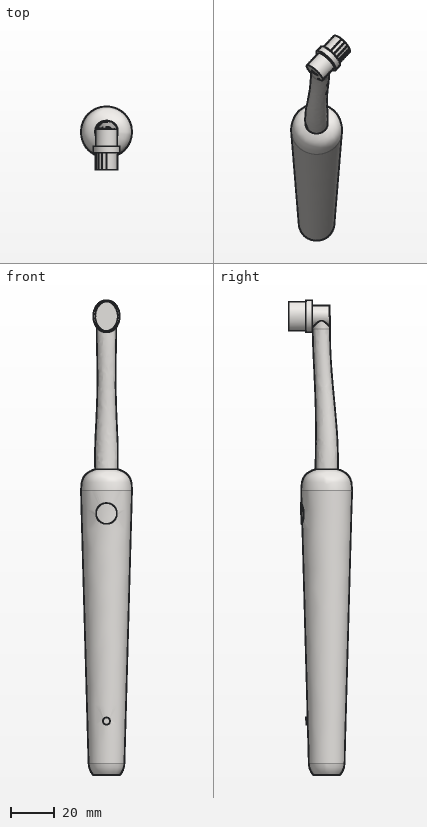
import cadquery as cq
import math

HANDLE_RADIUS = 11.7
HANDLE_LOWER_RADIUS = 8.3
HANDLE_FOOT_RADIUS = 6.0
FOOT_ROUND_HEIGHT = 5.5
FOOT_ROUND_MID = (7.6, 2.5)
SHOULDER_Z = 130.5
SHOULDER_MID = (9.8, 137.5)
SHOULDER_START_DIRECTION = (0, 1)
SHOULDER_END_DIRECTION = (-2, 0.6)
HANDLE_TOP_Z = 140.0
NECK_BASE_RADIUS = 5.2

SWITCH_Z = 119.8
SWITCH_RADIUS = 4.8
SWITCH_PROUD = 0.33
LAMP_Z = 24.8
LAMP_RADIUS = 1.63
LAMP_PROUD = 0.7
BUTTON_DEPTH = 2.2
BUTTON_REACH = 2 * HANDLE_RADIUS

OVERALL_HEIGHT = 217.5
HEAD_RADIUS = 5.0
HEAD_BACK_Y = 1.3
DISC_RADIUS_X = 6.0
DISC_RADIUS_Z = 7.5
DISC_BACK_Y = -6.5
DISC_THICKNESS = 3.0
DISC_FRONT_Y = DISC_BACK_Y - DISC_THICKNESS
HEAD_Z = OVERALL_HEIGHT - DISC_RADIUS_Z
BRISTLE_LENGTH = 7.8
BRISTLE_RADIUS_X = 5.11
BRISTLE_RADIUS_Z = 6.7
GROOVE_COUNT = 5
GROOVE_STEP = 22.5
GROOVE_RADIUS = 0.13

NECK_SECTIONS = [
    (HANDLE_TOP_Z, 0.0, NECK_BASE_RADIUS, NECK_BASE_RADIUS),
    (156.5, -0.1, 5.0, 4.9),
    (171.8, -0.9, 4.4, 4.4),
    (187.0, -1.85, 4.25, 4.02),
    (204.5, -2.5, 4.5, 4.02),
]
NECK_TOP_Z, NECK_TOP_Y, NECK_TOP_RX, NECK_TOP_RY = NECK_SECTIONS[-1]


def handle_form(extra=0.0):
    """Solid of revolution of the handle, with its side grown outward by extra."""
    return (
        cq.Workplane("XZ")
        .lineTo(HANDLE_FOOT_RADIUS + extra, 0)
        .threePointArc(
            (FOOT_ROUND_MID[0] + extra, FOOT_ROUND_MID[1]),
            (HANDLE_LOWER_RADIUS + extra, FOOT_ROUND_HEIGHT),
        )
        .lineTo(HANDLE_RADIUS + extra, SHOULDER_Z)
        .spline(
            [
                (SHOULDER_MID[0] + extra, SHOULDER_MID[1]),
                (NECK_BASE_RADIUS + extra, HANDLE_TOP_Z),
            ],
            tangents=[SHOULDER_START_DIRECTION, SHOULDER_END_DIRECTION],
            includeCurrent=True,
        )
        .lineTo(0, HANDLE_TOP_Z)
        .close()
        .revolve(360, (0, 0, 0), (0, 1, 0))
    )


def handle_radius_at(z):
    """Radius of the tapered grip at height z."""
    rise = (z - FOOT_ROUND_HEIGHT) / (SHOULDER_Z - FOOT_ROUND_HEIGHT)
    return HANDLE_LOWER_RADIUS + rise * (HANDLE_RADIUS - HANDLE_LOWER_RADIUS)


def make_button(z, radius, proud):
    """Round button whose face follows the handle surface, standing proud of it."""
    seat_y = math.sqrt(handle_radius_at(z) ** 2 - radius**2) - BUTTON_DEPTH
    plug = (
        cq.Workplane("XZ", origin=(0, -seat_y, 0))
        .center(0, z)
        .circle(radius)
        .extrude(BUTTON_REACH)
    )
    return plug.intersect(handle_form(proud))


def make_neck():
    """Gently bent neck with a short stem into the cylindrical head."""
    outlines = []
    for z, y, half_width, half_depth in NECK_SECTIONS:
        ellipse = cq.Wire.makeEllipse(
            half_width, half_depth, cq.Vector(0, y, z), cq.Vector(0, 0, 1), cq.Vector(1, 0, 0)
        )
        outlines.append(ellipse)
    shaft = cq.Workplane(cq.Solid.makeLoft(outlines))
    stem = (
        cq.Workplane("XY", origin=(0, NECK_TOP_Y, NECK_TOP_Z))
        .ellipse(NECK_TOP_RX, NECK_TOP_RY)
        .extrude(HEAD_Z - NECK_TOP_Z)
    )
    head = (
        cq.Workplane("XZ", origin=(0, HEAD_BACK_Y, HEAD_Z))
        .circle(HEAD_RADIUS)
        .extrude(HEAD_BACK_Y - DISC_BACK_Y)
    )
    return shaft.union(head.union(stem)).cut(make_disc())


def make_disc():
    """Oval carrier disc on the front of the head."""
    return (
        cq.Workplane("XZ", origin=(0, DISC_BACK_Y, HEAD_Z))
        .ellipse(DISC_RADIUS_X, DISC_RADIUS_Z)
        .extrude(DISC_THICKNESS)
    )


def make_bristles():
    """Oval bristle block with fine grooves over its upper -X quarter."""
    front = cq.Workplane("XZ", origin=(0, DISC_FRONT_Y, HEAD_Z))
    block = front.ellipse(BRISTLE_RADIUS_X, BRISTLE_RADIUS_Z).extrude(BRISTLE_LENGTH)
    for index in range(GROOVE_COUNT):
        angle = math.radians(90 + index * GROOVE_STEP)
        x = BRISTLE_RADIUS_X * math.cos(angle)
        z = BRISTLE_RADIUS_Z * math.sin(angle)
        block = block.cut(front.center(x, z).circle(GROOVE_RADIUS).extrude(BRISTLE_LENGTH))
    return block


switch = make_button(SWITCH_Z, SWITCH_RADIUS, SWITCH_PROUD)
lamp = make_button(LAMP_Z, LAMP_RADIUS, LAMP_PROUD)
handle = handle_form().cut(switch).cut(lamp)
neck = make_neck()
disc = make_disc()
bristles = make_bristles()

result = cq.Compound.makeCompound(
    [handle.val(), switch.val(), lamp.val(), neck.val(), disc.val(), bristles.val()]
)